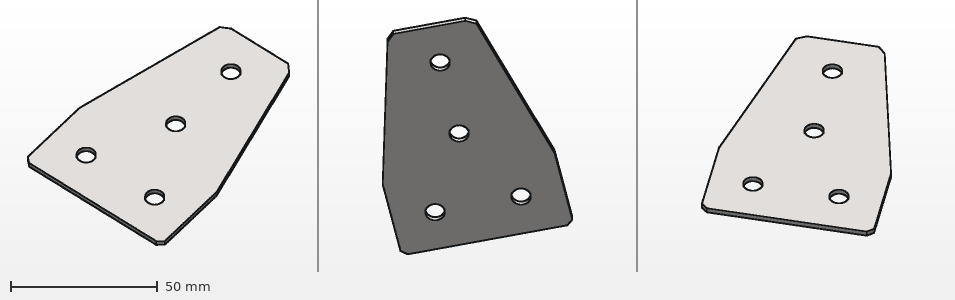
import cadquery as cq
import math

length = 90.0
hole_pitch = length / 3
width = 2 * hole_pitch
thickness = 2.0
hole_diameter = 6.7
short_cut = 2.0
long_cut = 3.0
base_cut_x = 2.2
base_cut_y = 1.9

half_width = width / 2
half_length = length / 2
top_half_width = width / 4
taper_start_y = -half_length + hole_pitch
taper_height = half_length - taper_start_y
taper_run = half_width - top_half_width
taper_length = math.hypot(taper_run, taper_height)


def point_on_taper(side, cut):
    """Return the point a distance cut down the tapered edge from its top corner."""
    x = top_half_width + cut * taper_run / taper_length
    y = half_length - cut * taper_height / taper_length
    return (side * x, y)


def make_plate():
    """Extrude the tapered outline with its four cut corners."""
    outline = [
        (-half_width + base_cut_x, -half_length),
        (half_width - base_cut_x, -half_length),
        (half_width, -half_length + base_cut_y),
        (half_width, taper_start_y),
        point_on_taper(1, long_cut),
        (top_half_width - short_cut, half_length),
        (-top_half_width + long_cut, half_length),
        point_on_taper(-1, short_cut),
        (-half_width, taper_start_y),
        (-half_width, -half_length + base_cut_y),
    ]
    return cq.Workplane("XY").polyline(outline).close().extrude(thickness)


def drill_holes(plate):
    """Drill the T pattern: two holes across the base and two up the centre."""
    base_hole_y = -half_length + hole_pitch / 2
    centers = [
        (-hole_pitch / 2, base_hole_y),
        (hole_pitch / 2, base_hole_y),
        (0, base_hole_y + hole_pitch),
        (0, base_hole_y + 2 * hole_pitch),
    ]
    holes = cq.Workplane("XY").pushPoints(centers).circle(hole_diameter / 2).extrude(thickness)
    return plate.cut(holes)


result = drill_holes(make_plate())